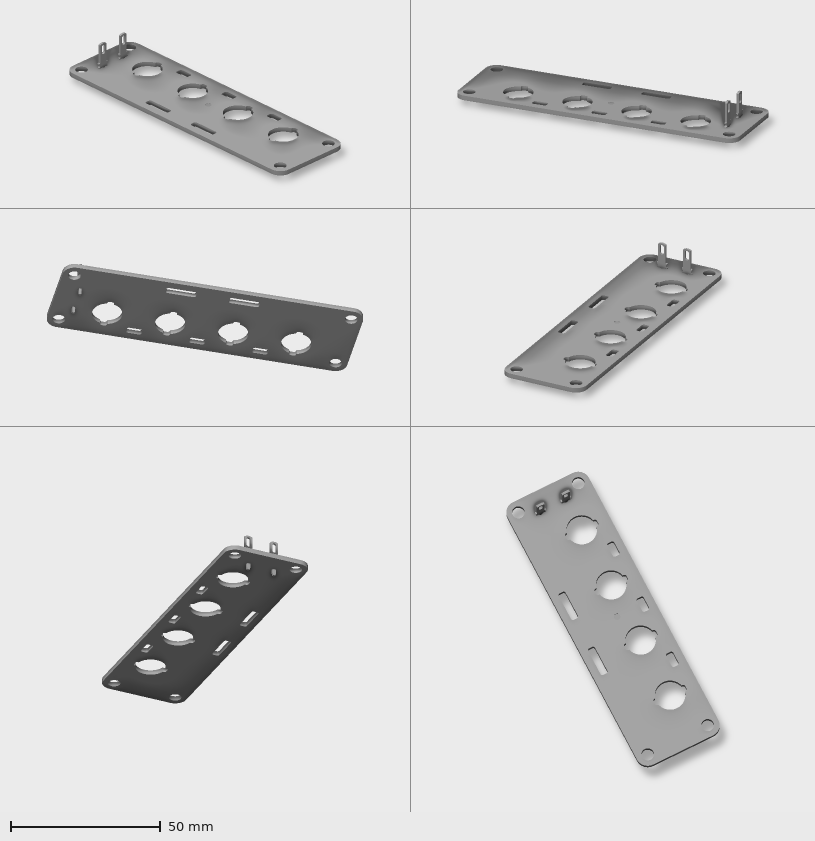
import cadquery as cq

overall_height = 12.9
plate_length = 103.0
plate_width = 30.5
plate_thickness = 1.6
corner_radius = 4.0

mount_hole_diameter = 4.2
mount_hole_x = plate_length / 2 - corner_radius
mount_hole_y = plate_width / 2 - corner_radius

port_pitch = 21.6
port_count = 4
port_y = 4.8
port_diameter = 10.2
keyway_width = 2.5
keyway_span = 11.9
keyway_corner_radius = 0.8
port_xs = [(i - (port_count - 1) / 2) * port_pitch for i in range(port_count)]

slot_height = 2.6
slot_corner_radius = 0.7
upper_slot_length = 5.3
lower_slot_length = 10.4
slot_y = mount_hole_y
upper_slot_xs = [-port_pitch, 0.0, port_pitch]
lower_slot_xs = [-port_pitch / 2, port_pitch / 2]

indicator_diameter = 2.2
indicator_depth = 0.1
indicator_y = 1.5

tab_x = -44.1
tab_ys = [-4.7, 4.7]
tab_thickness = 0.8
tab_hole_diameter = 1.5

blade_width = 2.8
blade_height = 9.1
blade_crown = 0.4
eye_width = 1.5
eye_bottom = 4.9
eye_top = 8.4

shoulder_width = 3.8
shoulder_height = 1.9
shoulder_notch_depth = 0.4
shoulder_notch_bottom = 0.2
shoulder_notch_top = 1.3

leg_width = 1.2
leg_tip_width = 0.7
leg_taper_length = 0.8
leg_length = overall_height - blade_height


def make_port_cutter(x):
    """Round opening with two opposite keyways that have rounded outer corners."""
    bore = cq.Workplane("XY").center(x, port_y).circle(port_diameter / 2).extrude(plate_thickness)
    keyways = (
        cq.Workplane("XY")
        .center(x, port_y)
        .rect(keyway_width, keyway_span)
        .extrude(plate_thickness)
        .edges("|Z")
        .fillet(keyway_corner_radius)
    )
    return bore.union(keyways)


def make_slot_cutter(x, y, length):
    """Rounded rectangle through the plate."""
    return (
        cq.Workplane("XY")
        .center(x, y)
        .rect(length, slot_height)
        .extrude(plate_thickness)
        .edges("|Z")
        .fillet(slot_corner_radius)
    )


def make_plate():
    """Rounded plate with all its openings; its underside lies at Z = 0."""
    plate = (
        cq.Workplane("XY")
        .rect(plate_length, plate_width)
        .extrude(plate_thickness)
        .edges("|Z")
        .fillet(corner_radius)
    )
    plate = (
        plate.faces(">Z")
        .workplane()
        .rect(2 * mount_hole_x, 2 * mount_hole_y, forConstruction=True)
        .vertices()
        .hole(mount_hole_diameter)
    )
    for x in port_xs:
        plate = plate.cut(make_port_cutter(x))
    for x in upper_slot_xs:
        plate = plate.cut(make_slot_cutter(x, slot_y, upper_slot_length))
    for x in lower_slot_xs:
        plate = plate.cut(make_slot_cutter(x, -slot_y, lower_slot_length))

    tab_holes = (
        cq.Workplane("XY")
        .pushPoints([(tab_x, y) for y in tab_ys])
        .circle(tab_hole_diameter / 2)
        .extrude(plate_thickness)
    )
    indicator = (
        cq.Workplane("XY", origin=(0, indicator_y, plate_thickness))
        .circle(indicator_diameter / 2)
        .extrude(-indicator_depth)
    )
    return plate.cut(tab_holes).cut(indicator)


def make_tab(y):
    """Flat terminal whose shoulders rest on the plate and whose leg passes through its hole."""
    half_blade = blade_width / 2
    half_shoulder = shoulder_width / 2
    half_leg = leg_width / 2
    half_tip = leg_tip_width / 2
    taper_start = leg_taper_length - leg_length
    blade_side_top = blade_height - blade_crown
    notch_waist = half_shoulder - shoulder_notch_depth
    notch_middle = (shoulder_notch_bottom + shoulder_notch_top) / 2

    base = cq.Workplane("YZ", origin=(tab_x - tab_thickness / 2, y, plate_thickness))
    profile = (
        base.moveTo(-half_tip, -leg_length)
        .lineTo(half_tip, -leg_length)
        .lineTo(half_leg, taper_start)
        .lineTo(half_leg, 0)
        .lineTo(half_shoulder, 0)
        .lineTo(half_shoulder, shoulder_notch_bottom)
        .threePointArc((notch_waist, notch_middle), (half_shoulder, shoulder_notch_top))
        .lineTo(half_shoulder, shoulder_height)
        .lineTo(half_blade, shoulder_height)
        .lineTo(half_blade, blade_side_top)
        .threePointArc((0, blade_height), (-half_blade, blade_side_top))
        .lineTo(-half_blade, shoulder_height)
        .lineTo(-half_shoulder, shoulder_height)
        .lineTo(-half_shoulder, shoulder_notch_top)
        .threePointArc((-notch_waist, notch_middle), (-half_shoulder, shoulder_notch_bottom))
        .lineTo(-half_shoulder, 0)
        .lineTo(-half_leg, 0)
        .lineTo(-half_leg, taper_start)
        .close()
        .extrude(tab_thickness)
    )
    eye = (
        base.center(0, (eye_bottom + eye_top) / 2)
        .slot2D(eye_top - eye_bottom, eye_width, 90)
        .extrude(tab_thickness)
    )
    return profile.cut(eye)


plate = make_plate()
tabs = [make_tab(y) for y in tab_ys]

result = cq.Compound.makeCompound([plate.val(), *[tab.val() for tab in tabs]])